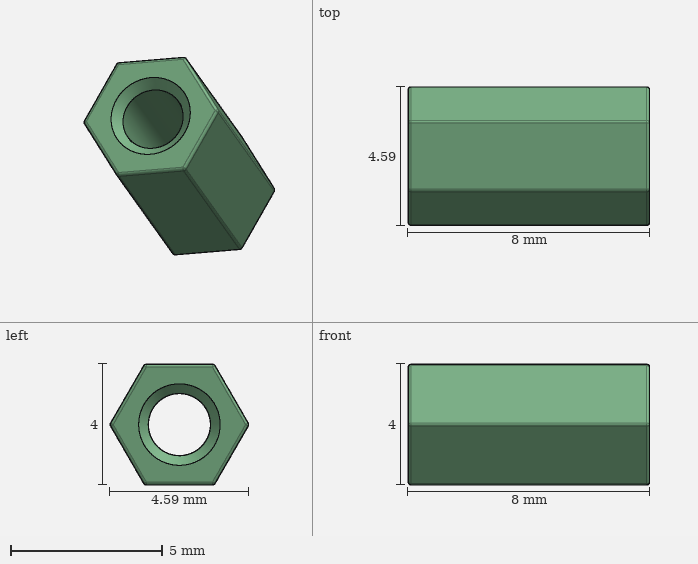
import cadquery as cq
import math

LENGTH = 8.0
ACROSS_FLATS = 4.0
EDGE_RADIUS = 0.1
BORE_DIAMETER = 2.05
MOUTH_DIAMETER = 2.7

HEX_SIDES = 6
across_corners = ACROSS_FLATS / math.cos(math.pi / HEX_SIDES)
half_length = LENGTH / 2
bore_radius = BORE_DIAMETER / 2
mouth_radius = MOUTH_DIAMETER / 2
countersink_depth = mouth_radius - bore_radius


def make_hex_body():
    """Hexagonal bar centred on the X axis, corners on +Y and -Y, all edges rounded."""
    bar = cq.Workplane("YZ").polygon(HEX_SIDES, across_corners).extrude(half_length, both=True)
    return bar.edges().fillet(EDGE_RADIUS)


def make_bore():
    """Through bore with a countersink at both ends, revolved about the X axis."""
    countersink_start = half_length - countersink_depth
    profile = (
        cq.Workplane("XY")
        .moveTo(-half_length, 0)
        .lineTo(-half_length, mouth_radius)
        .lineTo(-countersink_start, bore_radius)
        .lineTo(countersink_start, bore_radius)
        .lineTo(half_length, mouth_radius)
        .lineTo(half_length, 0)
        .close()
    )
    return profile.revolve(360, (0, 0, 0), (1, 0, 0))


result = make_hex_body().cut(make_bore())